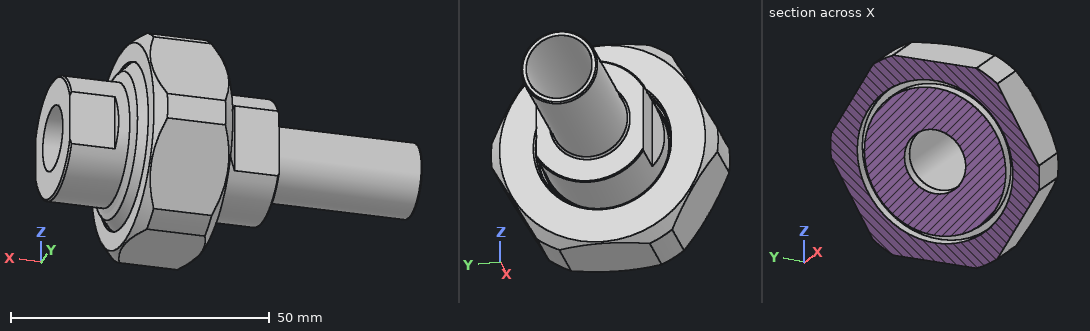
import cadquery as cq
import math


collar_start = 30.0
tail_flat_end = 39.0
nut_start = 42.4
flange_start = 45.7
joint = 50.0
nut_end = 58.35
thread_end = 59.9
neck_start = 60.3
neck_end = 60.75
end_flat_start = 63.4
total_length = 72.5

bore_dia = 13.0
pipe_dia = 15.0
collar_dia = 25.0
flange_dia = 30.3
thread_dia = 33.1
thread_tip_dia = 29.0
neck_dia = 26.5
end_dia = 24.6
nut_hole_dia = 26.5
nut_corner_dia = 44.7

nut_flats = 41.0
tail_flats = 21.0
end_flats = 22.05

pipe_chamfer = 0.3
pipe_root = 0.4
collar_chamfer = 0.2
flange_root = 0.3
nut_chamfer = 2.1
nut_hole_chamfer = 0.35
end_chamfer = 0.35
end_flat_slope = 0.35


def revolve(points):
    """Revolve a closed (x, radius) outline around the X axis."""
    return cq.Workplane("XY").polyline(points).close().revolve(360, (0, 0, 0), (1, 0, 0))


def flat_cutters(outline):
    """Two opposite cutters from an (x, y) outline on the +Y side, mirrored to -Y."""
    cutter = cq.Workplane("XY").polyline(outline).close().extrude(nut_corner_dia / 2, both=True)
    return cutter.union(cutter.mirror("XZ"))


def make_tailpiece():
    bore_radius = bore_dia / 2
    pipe_radius = pipe_dia / 2
    collar_radius = collar_dia / 2
    flange_radius = flange_dia / 2
    body = revolve([
        (0, bore_radius),
        (0, pipe_radius - pipe_chamfer),
        (pipe_chamfer, pipe_radius),
        (collar_start - pipe_root, pipe_radius),
        (collar_start, pipe_radius + pipe_root),
        (collar_start, collar_radius - collar_chamfer),
        (collar_start + collar_chamfer, collar_radius),
        (flange_start - flange_root, collar_radius),
        (flange_start, collar_radius + flange_root),
        (flange_start, flange_radius),
        (joint, flange_radius),
        (joint, bore_radius),
    ])
    flat_y = tail_flats / 2
    outer_y = collar_radius + 0.7
    flats = flat_cutters([
        (collar_start, flat_y),
        (tail_flat_end, flat_y),
        (tail_flat_end + outer_y - flat_y, outer_y),
        (collar_start, outer_y),
    ])
    return body.cut(flats)


def make_nut():
    length = nut_end - nut_start
    corner_radius = nut_corner_dia / 2
    face_radius = corner_radius - nut_chamfer
    hexagon = (
        cq.Workplane("YZ", origin=(nut_start, 0, 0))
        .polygon(6, nut_flats / math.cos(math.pi / 6))
        .extrude(length)
    )
    envelope = revolve([
        (nut_start, 0),
        (nut_start, face_radius),
        (nut_start + nut_chamfer, corner_radius),
        (nut_end - nut_chamfer, corner_radius),
        (nut_end, face_radius),
        (nut_end, 0),
    ])
    hole_radius = nut_hole_dia / 2
    thread_radius = thread_dia / 2
    opening = revolve([
        (nut_start, 0),
        (nut_start, hole_radius + nut_hole_chamfer),
        (nut_start + nut_hole_chamfer, hole_radius),
        (flange_start, hole_radius),
        (flange_start, thread_radius),
        (nut_end, thread_radius),
        (nut_end, 0),
    ])
    return hexagon.intersect(envelope).cut(opening)


def make_end_piece():
    bore_radius = bore_dia / 2
    thread_radius = thread_dia / 2
    tip_radius = thread_tip_dia / 2
    neck_radius = neck_dia / 2
    end_radius = end_dia / 2
    thread_chamfer = thread_radius - tip_radius
    body = revolve([
        (joint, bore_radius),
        (joint, thread_radius),
        (thread_end - thread_chamfer, thread_radius),
        (thread_end, tip_radius),
        (neck_start, neck_radius),
        (neck_end, end_radius),
        (total_length - end_chamfer, end_radius),
        (total_length, end_radius - end_chamfer),
        (total_length, bore_radius),
    ])
    flat_y = end_flats / 2
    flats = flat_cutters([
        (end_flat_start, flat_y),
        (total_length, flat_y),
        (total_length, end_radius),
        (end_flat_start - end_flat_slope, end_radius),
    ])
    return body.cut(flats)


tailpiece = make_tailpiece()
nut = make_nut()
end_piece = make_end_piece()

result = cq.Compound.makeCompound([tailpiece.val(), nut.val(), end_piece.val()])